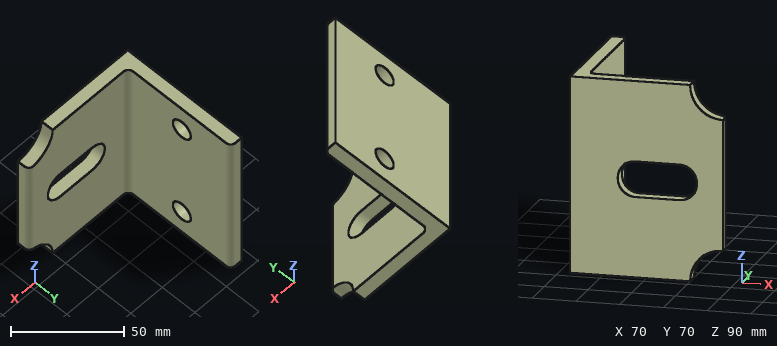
import cadquery as cq

height = 90.0
leg_length = 70.0
thickness = 7.0
edge_radius = 3.0
notch_radius = 15.0
hole_diameter = 11.0
slot_length = 36.2
slot_width = 16.2
opening_offset = 40.0

hole_inset = notch_radius
cut_depth = 2 * thickness


def angle_section():
    """L-shaped bar standing along Z, outer corner on the Z axis."""
    bar = (
        cq.Workplane("XY")
        .polyline([
            (0, 0),
            (leg_length, 0),
            (leg_length, thickness),
            (thickness, thickness),
            (thickness, leg_length),
            (0, leg_length),
        ])
        .close()
        .extrude(height)
    )
    rounded_corners = [
        (leg_length, thickness),
        (thickness, thickness),
        (thickness, leg_length),
    ]
    for x, y in rounded_corners:
        corner = cq.Vector(x, y, height / 2)
        bar = bar.edges(cq.selectors.NearestToPointSelector(corner.toTuple())).fillet(edge_radius)
    return bar


def corner_notches():
    """Quarter-round notches at the top and bottom free corners of the X leg."""
    return (
        cq.Workplane("XZ")
        .pushPoints([(leg_length, 0), (leg_length, height)])
        .circle(notch_radius)
        .extrude(cut_depth, both=True)
    )


def slot():
    """Slot through the X leg, lengthwise along X."""
    return (
        cq.Workplane("XZ")
        .center(opening_offset, height / 2)
        .slot2D(slot_length, slot_width)
        .extrude(cut_depth, both=True)
    )


def mounting_holes():
    """Two holes through the Y leg."""
    return (
        cq.Workplane("YZ")
        .pushPoints([(opening_offset, hole_inset), (opening_offset, height - hole_inset)])
        .circle(hole_diameter / 2)
        .extrude(cut_depth, both=True)
    )


result = angle_section().cut(corner_notches()).cut(slot()).cut(mounting_holes())